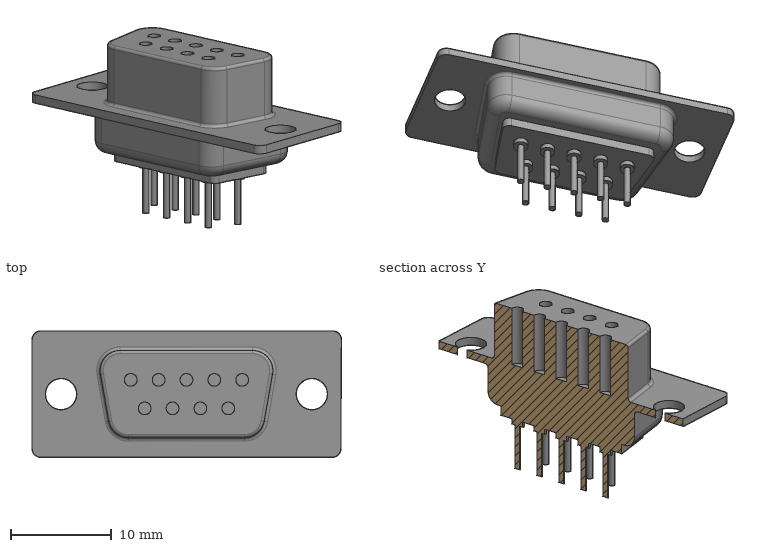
import cadquery as cq
import math


flange_half_length = 15.37
flange_lean = 0.05
flange_depth = 12.6
flange_thickness = 0.85
flange_corner_radius = 0.9
mounting_hole_diameter = 3.08
mounting_hole_spacing = 24.95

flank_angle = math.radians(10)

tower_width = 17.2
tower_depth = 8.7
tower_height = 6.13
tower_corner_radius = 2.0
tower_rim_radius = 0.3

shell_width = 19.23
shell_depth = 10.9
shell_height = 4.1
shell_corner_radius = 1.88
shell_rim_radius = 1.23

root_radius = 0.35

block_width = 15.7
block_depth = 6.95
block_height = 1.02
block_corner_radius = 0.68

contact_pitch = 2.77
row_spacing = 2.83
row_counts = {row_spacing / 2: 5, -row_spacing / 2: 4}
socket_diameter = 1.25
socket_depth = tower_height
collar_diameter = 1.42
collar_height = 0.55
pin_diameter = 0.65
pin_length = 4.75

flange_top = flange_thickness
tower_top = flange_top + tower_height
shell_bottom = -shell_height
block_bottom = shell_bottom - block_height
collar_bottom = block_bottom - collar_height


def d_prism(width, depth, height, corner_radius, base_z):
    """Prism of a rounded D outline; width is measured over its two wide corners."""
    half_depth = depth / 2
    wide_center_x = width / 2 - corner_radius
    corner_reach = corner_radius * (1 + math.sin(flank_angle)) / math.cos(flank_angle)
    wide_x = wide_center_x + corner_reach
    narrow_x = wide_x - depth * math.tan(flank_angle)
    outline = [
        (-wide_x, half_depth),
        (wide_x, half_depth),
        (narrow_x, -half_depth),
        (-narrow_x, -half_depth),
    ]
    prism = cq.Workplane("XY").workplane(offset=base_z).polyline(outline).close().extrude(height)
    return prism.edges("|Z").fillet(corner_radius)


def make_flange():
    half_depth = flange_depth / 2
    outline = [
        (-flange_half_length, half_depth),
        (flange_half_length + flange_lean, half_depth),
        (flange_half_length, -half_depth),
        (-flange_half_length, -half_depth),
    ]
    plate = cq.Workplane("XY").polyline(outline).close().extrude(flange_thickness)
    return plate.edges("|Z").fillet(flange_corner_radius)


def fillet_root(body, level):
    """Fillet the concave edges at this level, where a D-shaped body meets the flange."""
    half_x = (shell_width + root_radius) / 2
    half_y = (shell_depth + root_radius) / 2
    half_z = root_radius / 2
    around_root = cq.selectors.BoxSelector(
        (-half_x, -half_y, level - half_z),
        (half_x, half_y, level + half_z),
        boundingbox=True,
    )
    return body.edges(around_root).fillet(root_radius)


def contact_points():
    return [
        ((index - (count - 1) / 2) * contact_pitch, row_y)
        for row_y, count in row_counts.items()
        for index in range(count)
    ]


def contact_cylinders(diameter, base_z, height):
    plane = cq.Workplane("XY").workplane(offset=base_z)
    return plane.pushPoints(contact_points()).circle(diameter / 2).extrude(height)


tower = d_prism(tower_width, tower_depth, tower_height, tower_corner_radius, flange_top)
tower = tower.faces(">Z").edges().fillet(tower_rim_radius)
shell = d_prism(shell_width, shell_depth, shell_height, shell_corner_radius, shell_bottom)
shell = shell.faces("<Z").edges().fillet(shell_rim_radius)
body = make_flange().union(tower).union(shell)
body = fillet_root(body, flange_top)
body = fillet_root(body, 0)

mounting_points = [(side * mounting_hole_spacing / 2, 0) for side in (-1, 1)]
mounting_hole_circles = cq.Workplane("XY").pushPoints(mounting_points).circle(mounting_hole_diameter / 2)
body = body.cut(mounting_hole_circles.extrude(flange_thickness))

body = body.union(d_prism(block_width, block_depth, block_height, block_corner_radius, block_bottom))
body = body.union(contact_cylinders(collar_diameter, collar_bottom, collar_height))
body = body.union(contact_cylinders(pin_diameter, collar_bottom - pin_length, pin_length))

result = body.cut(contact_cylinders(socket_diameter, tower_top - socket_depth, socket_depth))